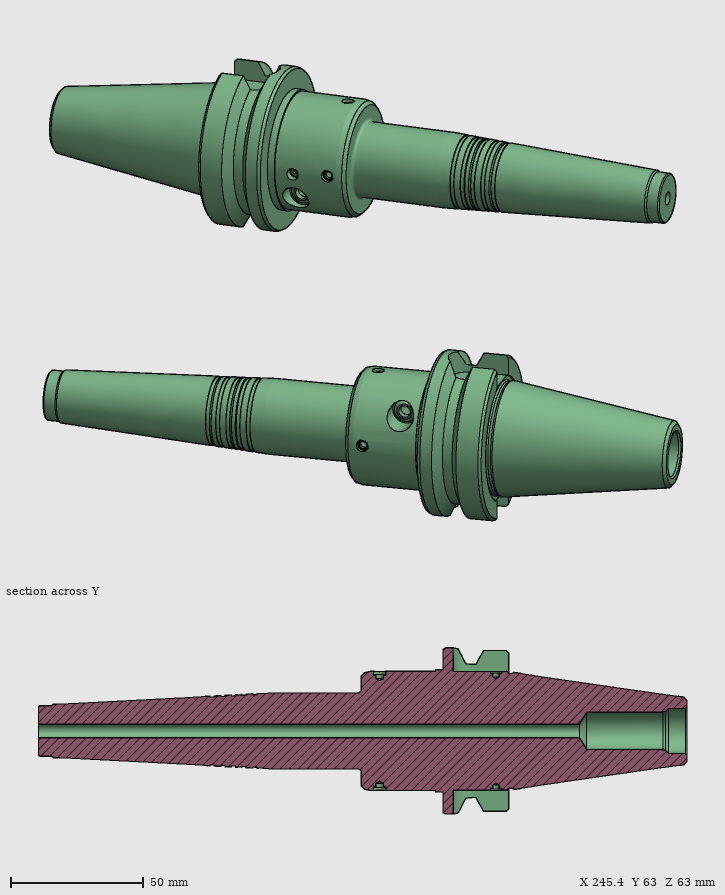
import cadquery as cq
import math


gauge_dia = 44.45
taper_ratio = 7 / 24
shank_length = 65.4
shank_chamfer = 1.2
relief_dia = 43.6
relief_outer_dia = 47.8
relief_end = 2.6
relief_slope_length = 0.8

flange_dia = 63.0
flange_start = 2.0
flange_end = 27.0
flange_rear_chamfer = 1.0
flange_front_chamfer_length = 1.2
flange_front_chamfer_height = 0.6
groove_dia = 53.0
groove_center = 16.4
groove_floor_width = 3.8
groove_flank_angle = 60.0
slot_width = 16.1
slot_end = 23.05
slot_floor_height = 22.5

body_dia = 45.2
body_end = 57.9
collar_dia = 46.4
collar_end = 29.8
body_lead_length = 2.2
body_lead_angle = 12.0
body_chamfer = 1.3

nozzle_dia = 28.9
nozzle_fillet = 1.3
nozzle_cone_start = 92.2
nozzle_cone_end = 174.4
nozzle_cone_angle = 3.0
tip_step_length = 0.7
tip_dia = 19.2
tip_end = 180.0
tip_chamfer = 0.5
ring_count = 5
ring_first_center = 98.1
ring_pitch = 4.05
ring_width = 1.5
ring_depth = 0.4
marker_centers = (103.95, 113.55)
marker_depth = 0.15

coolant_dia = 5.0
mouth_chamfer = 0.7
mouth_dia = 17.0
mouth_depth = 7.0
step_dia = 14.6
step_length = 1.0
thread_dia = 14.0
thread_depth = 38.0
drill_point_angle = 118.0

balance_screw_dias = (4.5, 4.1, 3.4, 2.8)
balance_screw_x = 50.9
balance_screw_count = 4
balance_screw_recess = 1.2
slot_screw_dias = (4.0, 3.6, 3.0, 2.31)
slot_screw_x = 6.9
slot_screw_recess = 0.5
small_socket_depth = 1.5

side_x = 36.9
clamp_screw_dias = (10.2, 9.0, 6.0, 4.62)
clamp_offset = 11.9
clamp_face_height = 13.0
clamp_socket_depth = 3.0
pin_screw_dias = (4.5, 4.1, 3.4, 1.73)
pin_offset = 1.1
pin_screw_recess = 3.0

drill_clearance = 10.0

flange_radius = flange_dia / 2
body_radius = body_dia / 2


def tan(degrees):
    return math.tan(math.radians(degrees))


def taper_radius(x):
    return gauge_dia / 2 + x * taper_ratio / 2


def cone_radius(x):
    """Radius of the nozzle cone at x."""
    return nozzle_dia / 2 - (x - nozzle_cone_start) * tan(nozzle_cone_angle)


def revolve_about_x(profile):
    return profile.close().revolve(360, (0, 0, 0), (1, 0, 0))


def make_body():
    relief_radius = relief_dia / 2
    groove_radius = groove_dia / 2
    flank = (flange_radius - groove_radius) / tan(groove_flank_angle)
    floor_start = groove_center - groove_floor_width / 2
    floor_end = groove_center + groove_floor_width / 2
    edge_x = body_end - body_chamfer
    lead_x = edge_x - body_lead_length
    edge_radius = body_radius - body_lead_length * tan(body_lead_angle)
    nozzle_radius = nozzle_dia / 2
    tip_radius = tip_dia / 2
    diagonal = math.sqrt(0.5)

    profile = (
        cq.Workplane("XY")
        .moveTo(-shank_length, 0)
        .lineTo(-shank_length, taper_radius(-shank_length) - shank_chamfer)
        .lineTo(-shank_length + shank_chamfer, taper_radius(-shank_length + shank_chamfer))
        .lineTo(0, gauge_dia / 2)
        .lineTo(relief_slope_length, relief_radius)
        .lineTo(relief_end - relief_slope_length, relief_radius)
        .lineTo(relief_end, gauge_dia / 2)
        .lineTo(relief_end, relief_outer_dia / 2)
        .lineTo(flange_start, relief_outer_dia / 2)
        .lineTo(flange_start, flange_radius - flange_rear_chamfer)
        .lineTo(flange_start + flange_rear_chamfer, flange_radius)
        .lineTo(floor_start - flank, flange_radius)
        .lineTo(floor_start, groove_radius)
        .lineTo(floor_end, groove_radius)
        .lineTo(floor_end + flank, flange_radius)
        .lineTo(flange_end - flange_front_chamfer_length, flange_radius)
        .lineTo(flange_end, flange_radius - flange_front_chamfer_height)
        .lineTo(flange_end, collar_dia / 2)
        .lineTo(collar_end, collar_dia / 2)
        .lineTo(collar_end, body_radius)
        .lineTo(lead_x, body_radius)
        .lineTo(edge_x, edge_radius)
        .lineTo(body_end, edge_radius - body_chamfer)
        .lineTo(body_end, nozzle_radius + nozzle_fillet)
        .threePointArc(
            (body_end + nozzle_fillet * (1 - diagonal), nozzle_radius + nozzle_fillet * (1 - diagonal)),
            (body_end + nozzle_fillet, nozzle_radius),
        )
        .lineTo(nozzle_cone_start, nozzle_radius)
        .lineTo(nozzle_cone_end, cone_radius(nozzle_cone_end))
        .lineTo(nozzle_cone_end + tip_step_length, tip_radius)
        .lineTo(tip_end - tip_chamfer, tip_radius)
        .lineTo(tip_end, tip_radius - tip_chamfer)
        .lineTo(tip_end, 0)
    )
    return revolve_about_x(profile)


def make_bore():
    start = -shank_length
    mouth_radius = mouth_dia / 2
    step_radius = step_dia / 2
    thread_radius = thread_dia / 2
    coolant_radius = coolant_dia / 2
    step_start = start + mouth_depth + mouth_radius - step_radius
    thread_end = start + thread_depth
    point_length = (thread_radius - coolant_radius) / tan(drill_point_angle / 2)
    profile = (
        cq.Workplane("XY")
        .moveTo(start, 0)
        .lineTo(start, mouth_radius + mouth_chamfer)
        .lineTo(start + mouth_chamfer, mouth_radius)
        .lineTo(start + mouth_depth, mouth_radius)
        .lineTo(step_start, step_radius)
        .lineTo(step_start + step_length, step_radius)
        .lineTo(step_start + step_length, thread_radius)
        .lineTo(thread_end, thread_radius)
        .lineTo(thread_end + point_length, coolant_radius)
        .lineTo(tip_end, coolant_radius)
        .lineTo(tip_end, 0)
    )
    return revolve_about_x(profile)


def make_nozzle_ring(center, depth):
    """Square-walled groove whose floor runs parallel to the nozzle cone."""
    start = center - ring_width / 2
    end = center + ring_width / 2
    profile = (
        cq.Workplane("XY")
        .moveTo(start, cone_radius(start) - depth)
        .lineTo(start, nozzle_dia / 2)
        .lineTo(end, nozzle_dia / 2)
        .lineTo(end, cone_radius(end) - depth)
    )
    return revolve_about_x(profile)


def make_drive_slot():
    """Slot on the +Z side, open towards the shank and round at its closed end."""
    half_width = slot_width / 2
    arc_center = slot_end - half_width
    return (
        cq.Workplane("XY", origin=(0, 0, slot_floor_height))
        .moveTo(0, -half_width)
        .lineTo(arc_center, -half_width)
        .threePointArc((slot_end, 0), (arc_center, half_width))
        .lineTo(0, half_width)
        .close()
        .extrude(flange_radius)
    )


def make_screw_hole(face_height, socket_depth, dias):
    """Space left by a screw in a blind hole along +Z: the gap above and round it, and its socket."""
    hole_radius, rim_radius, face_radius, socket_radius = (dia / 2 for dia in dias)
    rim_height = face_height - (rim_radius - face_radius)
    socket_floor = face_height - socket_depth
    socket_tip = socket_floor - socket_radius / tan(drill_point_angle / 2)
    top = face_height + drill_clearance
    return (
        cq.Workplane("XZ")
        .moveTo(0, socket_tip)
        .lineTo(socket_radius, socket_floor)
        .lineTo(socket_radius, face_height)
        .lineTo(face_radius, face_height)
        .lineTo(rim_radius, rim_height)
        .lineTo(hole_radius, rim_height)
        .lineTo(hole_radius, top)
        .lineTo(0, top)
        .close()
        .revolve(360, (0, 0, 0), (0, 1, 0))
    )


def turn(shape, angle):
    return shape.rotate((0, 0, 0), (1, 0, 0), angle)


result = make_body().cut(make_bore())

for index in range(ring_count):
    result = result.cut(make_nozzle_ring(ring_first_center + index * ring_pitch, ring_depth))
for center in marker_centers:
    result = result.cut(make_nozzle_ring(center, marker_depth))

slot_screw = make_screw_hole(slot_floor_height - slot_screw_recess, small_socket_depth, slot_screw_dias)
slot = make_drive_slot().union(slot_screw.translate((slot_screw_x, 0, 0)))
for angle in (0, 180):
    result = result.cut(turn(slot, angle))

balance_screw = make_screw_hole(body_radius - balance_screw_recess, small_socket_depth, balance_screw_dias)
balance_screw = balance_screw.translate((balance_screw_x, 0, 0))
for index in range(balance_screw_count):
    result = result.cut(turn(balance_screw, index * 360 / balance_screw_count))

clamp_screw = make_screw_hole(clamp_face_height, clamp_socket_depth, clamp_screw_dias)
clamp_screw = clamp_screw.translate((side_x, -clamp_offset, 0))
for angle in (90, 270):
    result = result.cut(turn(clamp_screw, angle))

pin_screw = make_screw_hole(body_radius - pin_screw_recess, small_socket_depth, pin_screw_dias)
result = result.cut(turn(pin_screw.translate((side_x, -pin_offset, 0)), 90))